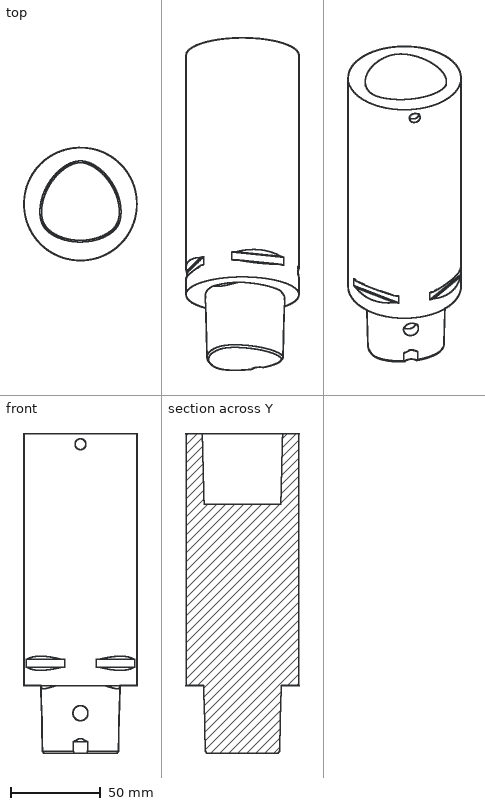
import cadquery as cq
import math

TOTAL_LENGTH = 178.0
SHANK_LENGTH = 37.7
BODY_RADIUS = 31.5

LOBE_HEIGHT = 1.5
LOBE_COUNT = 3
OUTLINE_SAMPLES = 60
TAPER_PER_LENGTH = 0.025
SHANK_MEAN_RADIUS = 22.0
SHANK_FLAT_SIDE_RADIUS = SHANK_MEAN_RADIUS - LOBE_HEIGHT
NECK_LENGTH = 2.5
TIP_CHAMFER_HEIGHT = 1.2
TIP_CHAMFER_INSET = 0.9
BORE_MEAN_RADIUS = 22.6
BORE_DEPTH = 39.2

RELIEF_RADIUS = 22.2
RELIEF_WIDTH = 1.5
RELIEF_HEIGHT = 2.0
RELIEF_OUTER_RADIUS = BODY_RADIUS

SLOT_COUNT = 4
SLOT_FLOOR_DISTANCE = 27.6
SLOT_FLOOR_BOTTOM = 47.9
SLOT_FLOOR_HEIGHT = 4.6
SLOT_SHELF_WIDTH = 1.0
SLOT_FLANK_ANGLE = 30.0

DRILL_RADIUS = 4.18
DRILL_TIP_ANGLE = 118.0
DRILL_TIP_HEIGHT = DRILL_RADIUS / math.tan(math.radians(DRILL_TIP_ANGLE / 2))
SHANK_HOLE_Z = 22.5
SHANK_HOLE_DEPTH = 7.1
KEYWAY_HEIGHT = 6.4
KEYWAY_AXIS_DISTANCE = 21.0
LOCK_HOLE_RADIUS = 3.0
LOCK_HOLE_Z = 172.1
LOCK_HOLE_DEPTH = 3.5


def lobed_wire(mean_radius, z):
    """Closed three-lobed outline at height z."""

    def point(t):
        angle = 2 * math.pi * t - math.pi / 2
        lobe_angle = LOBE_COUNT * (angle - math.pi / 2)
        reach = mean_radius + LOBE_HEIGHT * math.cos(lobe_angle)
        slope = -LOBE_COUNT * LOBE_HEIGHT * math.sin(lobe_angle)
        x = reach * math.cos(angle) - slope * math.sin(angle)
        y = reach * math.sin(angle) + slope * math.cos(angle)
        return x, y, 0

    outline = cq.Workplane("XY").parametricCurve(point, N=OUTLINE_SAMPLES).val()
    return outline.moved(cq.Location(cq.Vector(0, 0, z)))


def lobed_solid(sections):
    """Lobed solid through (mean radius, z) sections, straight between neighbours."""
    pieces = [
        cq.Solid.makeLoft([lobed_wire(*lower), lobed_wire(*upper)], True)
        for lower, upper in zip(sections, sections[1:])
    ]
    solid = cq.Workplane(pieces[0])
    for piece in pieces[1:]:
        solid = solid.union(cq.Workplane(piece))
    return solid


def drill(radius, depth, tip_height):
    """Drill along +Z from the origin: a cylinder of the given depth with a conical tip."""
    profile = [(0, 0), (radius, 0), (radius, depth), (0, depth + tip_height)]
    return cq.Workplane("XZ").polyline(profile).close().revolve(360, (0, 0), (0, 1))


def body():
    return (
        cq.Workplane("XY")
        .workplane(offset=SHANK_LENGTH)
        .circle(BODY_RADIUS)
        .extrude(TOTAL_LENGTH - SHANK_LENGTH)
    )


def shank():
    neck_z = SHANK_LENGTH - NECK_LENGTH
    tip_radius = SHANK_MEAN_RADIUS - TAPER_PER_LENGTH * (neck_z - TIP_CHAMFER_HEIGHT)
    solid = lobed_solid([
        (tip_radius - TIP_CHAMFER_INSET, 0),
        (tip_radius, TIP_CHAMFER_HEIGHT),
        (SHANK_MEAN_RADIUS, neck_z),
        (SHANK_MEAN_RADIUS, SHANK_LENGTH),
    ])
    relief_profile = [
        (RELIEF_RADIUS, SHANK_LENGTH),
        (RELIEF_RADIUS + RELIEF_WIDTH, SHANK_LENGTH - RELIEF_HEIGHT),
        (RELIEF_OUTER_RADIUS, SHANK_LENGTH - RELIEF_HEIGHT),
        (RELIEF_OUTER_RADIUS, SHANK_LENGTH),
    ]
    relief = cq.Workplane("XZ").polyline(relief_profile).close().revolve(360, (0, 0), (0, 1))
    return solid.cut(relief)


def bore():
    floor_radius = BORE_MEAN_RADIUS - TAPER_PER_LENGTH * BORE_DEPTH
    return lobed_solid([
        (floor_radius, TOTAL_LENGTH - BORE_DEPTH),
        (BORE_MEAN_RADIUS, TOTAL_LENGTH),
    ])


def gripper_slot():
    """Trapezoidal slot cutter across the +X side: level shelves, then flanks that widen outward."""
    shelf_edge = SLOT_FLOOR_DISTANCE + SLOT_SHELF_WIDTH
    flare = (BODY_RADIUS - shelf_edge) * math.tan(math.radians(SLOT_FLANK_ANGLE))
    floor_top = SLOT_FLOOR_BOTTOM + SLOT_FLOOR_HEIGHT
    return (
        cq.Workplane("XZ")
        .polyline([
            (SLOT_FLOOR_DISTANCE, SLOT_FLOOR_BOTTOM),
            (shelf_edge, SLOT_FLOOR_BOTTOM),
            (BODY_RADIUS, SLOT_FLOOR_BOTTOM - flare),
            (BODY_RADIUS, floor_top + flare),
            (shelf_edge, floor_top),
            (SLOT_FLOOR_DISTANCE, floor_top),
        ])
        .close()
        .extrude(BODY_RADIUS, both=True)
    )


def radial_drill(radius, entry_radius, depth, tip_height, z):
    """Drill pointing toward +Y whose depth is counted from entry_radius on the -Y side."""
    length = BODY_RADIUS - entry_radius + depth
    cutter = drill(radius, length, tip_height).rotate((0, 0, 0), (1, 0, 0), -90)
    return cutter.translate((0, -BODY_RADIUS, z))


def shank_hole():
    """Blind hole with a conical end in the flat -Y side of the shank."""
    return radial_drill(
        DRILL_RADIUS, SHANK_FLAT_SIDE_RADIUS, SHANK_HOLE_DEPTH, DRILL_TIP_HEIGHT, SHANK_HOLE_Z
    )


def lock_hole():
    """Flat-bottomed hole in the body near its mouth."""
    flat_tip = 0
    return radial_drill(LOCK_HOLE_RADIUS, BODY_RADIUS, LOCK_HOLE_DEPTH, flat_tip, LOCK_HOLE_Z)


def keyway():
    """Vertical drilled groove that opens on the -Y side of the shank tip."""
    cutter = drill(DRILL_RADIUS, KEYWAY_HEIGHT, DRILL_TIP_HEIGHT)
    return cutter.translate((0, -KEYWAY_AXIS_DISTANCE, 0))


result = body().union(shank()).cut(bore())

for index in range(SLOT_COUNT):
    slot_angle = (index + 0.5) * 360 / SLOT_COUNT
    result = result.cut(gripper_slot().rotate((0, 0, 0), (0, 0, 1), slot_angle))

result = result.cut(shank_hole()).cut(lock_hole()).cut(keyway())